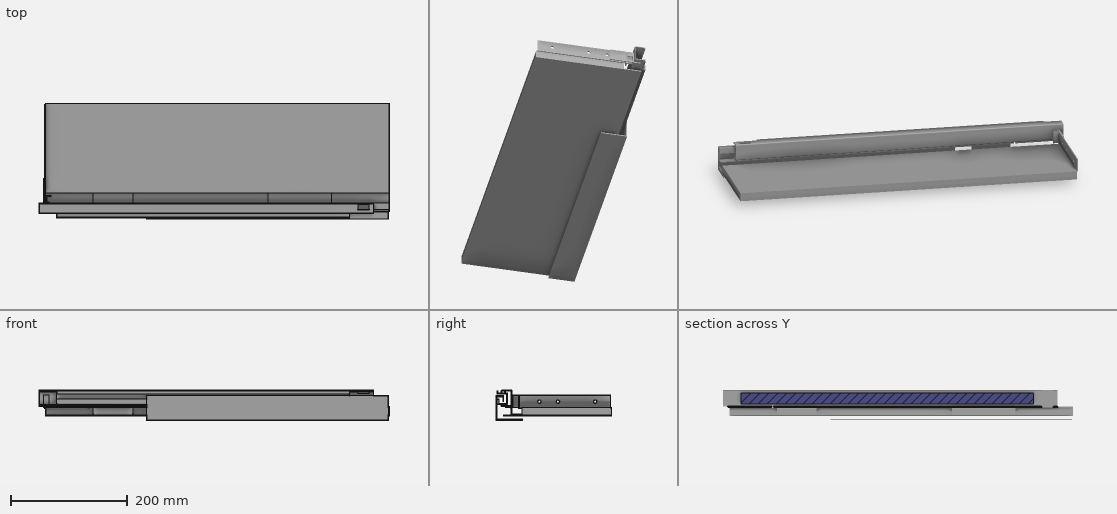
import cadquery as cq


overall_length = 601.5
overall_depth = 198.5
overall_height = 52.0
sheet = 2.0
rail_sheet = 1.5
rail_bend = 2.0

cover_left = 184.5
cover_right = 599.5
cover_height = 42.0
cover_foot_depth = 46.0
cover_top_depth = 12.5
cover_lip_sheet = 0.9
cover_lip_height = 9.5

rail_length = 574.5
rail_front = 9.0
rail_back = 27.5
rail_bottom = 23.5
rail_lip_height = 3.5
stop_slot_left = 547.5
stop_slot_length = 19.0
stop_slot_back = 24.5
stop_tab_front = 15.0
stop_tab_drop = 4.0

middle_left = 30.0
middle_right = 533.0
middle_front = sheet
middle_back = 20.0
middle_bottom = 27.0
middle_top = 47.0
upper_lip_top = 50.5
hem_top = 36.0
hem_thickness = 2 * sheet

shelf_left = 11.5
tray_front = 13.0
tray_bottom = 7.0
tray_top = tray_bottom + sheet
board_front = 44.5
board_top = 21.5

support_left = 86.5
support_right = overall_length
support_front = 16.0
leg_bend = 1.0
leg_spans = [(92.5, 161.0), (393.5, 502.0)]

plate_bottom = 20.5
plate_top = 43.5
plate_left = shelf_left - sheet
plate_front = 38.5
plate_jog_front = rail_back + sheet
plate_back = 196.5
plate_return_right = 20.5
screw_hole_diameter = 5.5
screw_hole_height = 32.0
screw_hole_places = [74.5, 106.5, 170.0]
bracket_left = plate_left - sheet
bracket_inner_front = rail_back + sheet
bracket_back = 69.0
bracket_flange_right = 17.0
bracket_tongue_right = 83.5
bracket_bottom = 22.0
bracket_window_bottom = 26.0
bracket_window_top = 34.0
bracket_slit = sheet


def block(x0, x1, y0, y1, z0, z1):
    """Box between the given limits."""
    return cq.Workplane("XY").box(x1 - x0, y1 - y0, z1 - z0, centered=False).translate((x0, y0, z0))


def profile(points, x0, x1):
    """Closed (Y, Z) outline extruded along X."""
    return cq.Workplane("YZ").polyline(points).close().extrude(x1 - x0).translate((x0, 0, 0))


def round_bends(body, bends, radius):
    """Round the edges along X that pass through the given (Y, Z) places."""
    middle_x = body.val().Center().x
    for bend_y, bend_z in bends:
        nearest = cq.selectors.NearestToPointSelector((middle_x, bend_y, bend_z))
        body = body.edges("|X").edges(nearest).fillet(radius)
    return body


def make_cover():
    lip_bottom = cover_height - cover_lip_height
    lip_front = cover_top_depth - cover_lip_sheet
    outline = [
        (0, 0),
        (cover_foot_depth, 0),
        (cover_foot_depth, sheet),
        (sheet, sheet),
        (sheet, cover_height - sheet),
        (lip_front, cover_height - sheet),
        (lip_front, lip_bottom),
        (cover_top_depth, lip_bottom),
        (cover_top_depth, cover_height),
        (0, cover_height),
    ]
    return profile(outline, cover_left, cover_right)


def make_outer_rail():
    inner_bottom = rail_bottom + rail_sheet
    inner_top = overall_height - rail_sheet
    lip_back = rail_front + rail_sheet
    outline = [
        (rail_front, rail_bottom),
        (rail_back, rail_bottom),
        (rail_back, overall_height),
        (rail_front, overall_height),
        (rail_front, overall_height - rail_lip_height),
        (lip_back, overall_height - rail_lip_height),
        (lip_back, inner_top),
        (rail_back - rail_sheet, inner_top),
        (rail_back - rail_sheet, inner_bottom),
        (lip_back, inner_bottom),
        (lip_back, rail_bottom + rail_lip_height),
        (rail_front, rail_bottom + rail_lip_height),
    ]
    corners = [(y, z) for y in (rail_front, rail_back) for z in (rail_bottom, overall_height)]
    rail = round_bends(profile(outline, 0, rail_length), corners, rail_bend)

    slot_right = stop_slot_left + stop_slot_length
    tab_back = stop_tab_front + rail_sheet
    flanges = [
        (rail_bottom, inner_bottom, inner_bottom, inner_bottom + stop_tab_drop),
        (inner_top, overall_height, inner_top - stop_tab_drop, inner_top),
    ]
    for slot_z0, slot_z1, tab_z0, tab_z1 in flanges:
        rail = rail.cut(block(stop_slot_left, slot_right, tab_back, stop_slot_back, slot_z0, slot_z1))
        rail = rail.union(block(stop_slot_left, slot_right, stop_tab_front, tab_back, tab_z0, tab_z1))
    return rail


def make_middle_rail():
    lip_back = middle_front + sheet
    hem_back = middle_front + hem_thickness
    web_front = middle_back - sheet
    outline = [
        (middle_front, middle_bottom),
        (middle_back, middle_bottom),
        (middle_back, middle_top),
        (lip_back, middle_top),
        (lip_back, upper_lip_top),
        (middle_front, upper_lip_top),
        (middle_front, middle_top - sheet),
        (web_front, middle_top - sheet),
        (web_front, middle_bottom + sheet),
        (hem_back, middle_bottom + sheet),
        (hem_back, hem_top),
        (middle_front, hem_top),
    ]
    lower_bends = [(y, middle_bottom) for y in (middle_front, middle_back)]
    return round_bends(profile(outline, middle_left, middle_right), lower_bends, rail_bend)


def make_tray_sheet():
    return block(shelf_left, overall_length, tray_front, overall_depth, tray_bottom, tray_top)


def make_board():
    return block(shelf_left, overall_length, board_front, overall_depth, tray_top, board_top)


def make_rail_support():
    web_front = rail_back - sheet
    strip_bottom = rail_bottom - sheet
    support = block(support_left, support_right, support_front, rail_back, strip_bottom, rail_bottom)
    for leg_left, leg_right in leg_spans:
        web = block(leg_left, leg_right, web_front, rail_back, tray_top, rail_bottom)
        foot = block(leg_left, leg_right, web_front, board_front, tray_top, tray_top + sheet)
        bend = (
            cq.Workplane("YZ", origin=(leg_left, 0, 0))
            .moveTo(web_front, strip_bottom - leg_bend)
            .lineTo(web_front, strip_bottom)
            .lineTo(web_front - leg_bend, strip_bottom)
            .radiusArc((web_front, strip_bottom - leg_bend), leg_bend)
            .close()
            .extrude(leg_right - leg_left)
        )
        support = support.union(web).union(foot).union(bend)
    return support


def make_end_plate():
    plate = block(plate_left, shelf_left, plate_front, plate_back, plate_bottom, plate_top)
    for hole_y in screw_hole_places:
        hole = (
            cq.Workplane("YZ", origin=(plate_left, hole_y, screw_hole_height))
            .circle(screw_hole_diameter / 2)
            .extrude(sheet)
        )
        plate = plate.cut(hole)
    return_flange = block(
        shelf_left, plate_return_right, plate_front, plate_front + sheet, board_top, plate_top
    )
    jog = block(shelf_left, shelf_left + sheet, plate_jog_front, plate_front, board_top, plate_top)
    return plate.union(return_flange).union(jog)


def make_corner_bracket():
    wall = block(bracket_left, plate_left, rail_back, bracket_back, bracket_bottom, plate_top)

    window_back = plate_front + sheet
    window = block(
        bracket_left, plate_left, bracket_inner_front, window_back, bracket_window_bottom, bracket_window_top
    )
    slit = block(
        bracket_left, plate_left, window_back - bracket_slit, window_back, bracket_window_top, plate_top
    )

    rail_flange = block(
        bracket_left, bracket_flange_right, rail_back, bracket_inner_front, bracket_bottom, plate_top
    )
    tongue = block(
        bracket_left, bracket_tongue_right, support_front, rail_back, rail_bottom - sheet, rail_bottom
    )
    return wall.cut(window).cut(slit).union(rail_flange).union(tongue)


cover = make_cover()
outer_rail = make_outer_rail()
middle_rail = make_middle_rail()
tray_sheet = make_tray_sheet()
board = make_board()
rail_support = make_rail_support()
end_plate = make_end_plate()
corner_bracket = make_corner_bracket()

result = cq.Compound.makeCompound([
    cover.val(),
    outer_rail.val(),
    middle_rail.val(),
    tray_sheet.val(),
    board.val(),
    rail_support.val(),
    end_plate.val(),
    corner_bracket.val(),
])